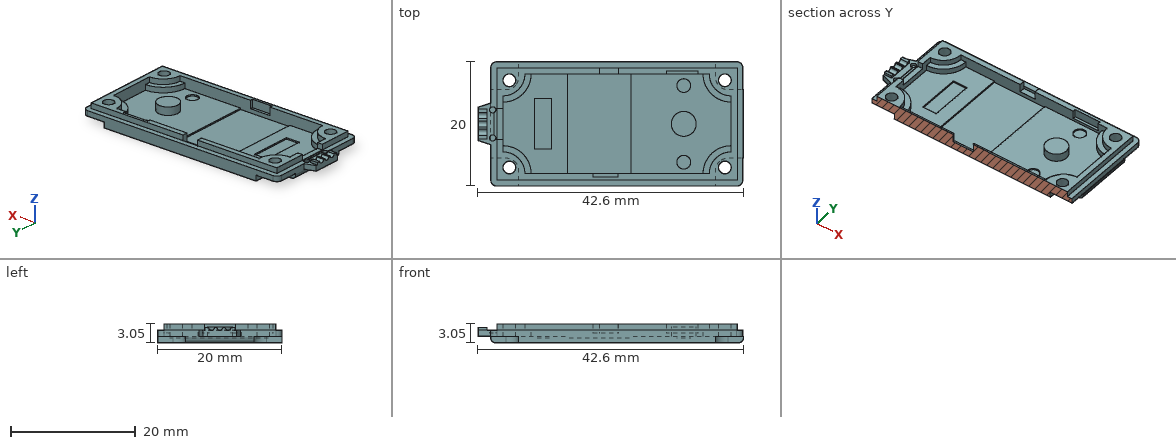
import cadquery as cq
foot_height = 1.05
plate_thickness = 1.0
wall_height = 1.0
plate_bottom = foot_height
plate_top = plate_bottom + plate_thickness
wall_top = plate_top + wall_height

base_length = 40.6
base_width = 20.0
plate_setback = 0.1
plate_corner_radius = 1.0
wall_inset = 1.0
wall_thickness = 1.0
wall_length = base_length - 2 * wall_inset
wall_width = base_width - 2 * wall_inset
cavity_length = wall_length - 2 * wall_thickness
cavity_width = wall_width - 2 * wall_thickness
overlap = 0.2

foot_corner_cut = 4.5
foot_cut_radius = 2.0
foot_edge_radius = 0.8

screw_hole_diameter = 2.0
screw_edge_distance = 3.0
screw_x = base_length / 2 - screw_edge_distance
screw_y = base_width / 2 - screw_edge_distance
boss_radius = 3.5
boss_step_radius = 4.5

floor_z = plate_bottom
panel_left = -8.0
panel_right = 2.2
panel_depth = 0.25
window_length = 2.7
window_width = 8.1
window_x = -11.9
window_depth = 0.25
post_diameter = 4.0
post_height = 1.5
post_x = 10.7
dimple_diameter = 2.2
dimple_depth = 0.25
dimple_y = 6.15

notch_depth = 1.5
notch_z = wall_top - notch_depth
latch_depth = 0.5
through_notch_length = 3.0
through_notch_x = -1.3
back_latch_length = 5.0
back_latch_x = 10.45
front_latch_length = 4.0
front_latch_x = -1.85

tab_length = 2.0
tab_root_width = 6.7
tab_tip_width = 5.4
grip_length = 1.45
grip_width = 4.8
grip_height = 0.45
flute_diameter = 1.0
flute_pitch = 1.33
flute_count = 3
flute_lift = 0.05

gap_width = 5.0
groove_depth = 0.08
groove_width = 0.45
relief_diameter = 1.0
relief_depth = 0.5
relief_x = -base_length / 2 + 0.33
relief_y = 2.25


def block(x_min, x_max, y_min, y_max, z_min, z_max):
    """Box given by its limits along each axis."""
    size = (x_max - x_min, y_max - y_min, z_max - z_min)
    return cq.Workplane("XY").box(*size, centered=False).translate((x_min, y_min, z_min))


def centered_block(x_center, y_center, length, width, z_min, z_max):
    """Box centred on a point in plan."""
    base = cq.Workplane("XY", origin=(x_center, y_center, z_min))
    return base.rect(length, width).extrude(z_max - z_min)


def cylinder(x, y, diameter, z_min, z_max):
    """Upright cylinder."""
    return cq.Workplane("XY", origin=(x, y, z_min)).circle(diameter / 2).extrude(z_max - z_min)


def corners(x, y):
    """The four mirrored positions of a point in plan."""
    return [(sx * x, sy * y) for sx in (-1, 1) for sy in (-1, 1)]


def make_foot():
    foot = centered_block(0, 0, base_length, base_width, 0, foot_height)
    foot = foot.faces("<X or >X").edges("<Z").fillet(foot_edge_radius)
    cut_size = 2 * foot_corner_cut
    for x, y in corners(base_length / 2, base_width / 2):
        cutter = centered_block(x, y, cut_size, cut_size, -overlap, foot_height)
        foot = foot.cut(cutter.edges("|Z").fillet(foot_cut_radius))
    return foot


def make_plate_and_wall():
    plate_length = base_length - plate_setback
    plate = centered_block(-plate_setback / 2, 0, plate_length, base_width, plate_bottom, plate_top)
    plate = plate.edges("|Z").fillet(plate_corner_radius)
    wall = centered_block(0, 0, wall_length, wall_width, plate_top, wall_top)
    return plate.union(wall)


def make_cavity():
    """Open space inside the wall, less the stepped quarter-round bosses."""
    cavity = centered_block(0, 0, cavity_length, cavity_width, floor_z, wall_top + overlap)
    for x, y in corners(cavity_length / 2, cavity_width / 2):
        cavity = cavity.cut(cylinder(x, y, 2 * boss_step_radius, floor_z, plate_top))
        cavity = cavity.cut(cylinder(x, y, 2 * boss_radius, plate_top, wall_top + overlap))
    return cavity


def cut_floor_details(body):
    half_width = cavity_width / 2
    panel = block(panel_left, panel_right, -half_width, half_width, floor_z - panel_depth, floor_z)
    window = centered_block(window_x, 0, window_length, window_width, floor_z - window_depth, floor_z)
    body = body.cut(panel).cut(window)
    for side in (-1, 1):
        body = body.cut(cylinder(post_x, side * dimple_y, dimple_diameter, floor_z - dimple_depth, floor_z))
    return body.union(cylinder(post_x, 0, post_diameter, floor_z - overlap, floor_z + post_height))


def cut_wall_notches(body):
    """Rectangular notches opening into the cavity: (x, length, side, depth into the wall)."""
    notches = [
        (through_notch_x, through_notch_length, 1, wall_thickness),
        (back_latch_x, back_latch_length, 1, latch_depth),
        (front_latch_x, front_latch_length, -1, latch_depth),
    ]
    for x, length, side, depth in notches:
        y = side * (cavity_width / 2 + depth / 2)
        body = body.cut(centered_block(x, y, length, depth, notch_z, wall_top))
    return body


def add_tab(body):
    root_x = -base_length / 2
    tip_x = root_x - tab_length
    outline = [
        (root_x, -tab_root_width / 2),
        (root_x, tab_root_width / 2),
        (tip_x, tab_tip_width / 2),
        (tip_x, -tab_tip_width / 2),
    ]
    tab = cq.Workplane("XY", origin=(0, 0, plate_bottom)).polyline(outline).close().extrude(plate_thickness)
    grip_top = plate_top + grip_height
    grip = block(tip_x, tip_x + grip_length, -grip_width / 2, grip_width / 2, plate_top, grip_top)
    for index in range(flute_count):
        y = (index - (flute_count - 1) / 2) * flute_pitch
        flute_plane = cq.Workplane("YZ", origin=(tip_x, y, grip_top + flute_lift))
        grip = grip.cut(flute_plane.circle(flute_diameter / 2).extrude(grip_length))
    return body.union(tab).union(grip)


def cut_tab_gap(body):
    wall_outer_x = -wall_length / 2
    half_gap = gap_width / 2
    body = body.cut(block(wall_outer_x, -cavity_length / 2, -half_gap, half_gap, plate_top, wall_top))
    groove_x = wall_outer_x - groove_width
    body = body.cut(block(groove_x, wall_outer_x, -half_gap, half_gap, plate_top - groove_depth, plate_top))
    for side in (-1, 1):
        relief = cylinder(relief_x, side * relief_y, relief_diameter, plate_top - relief_depth, plate_top)
        body = body.cut(relief)
    return body


def cut_screw_holes(body):
    for x, y in corners(screw_x, screw_y):
        body = body.cut(cylinder(x, y, screw_hole_diameter, -overlap, wall_top + overlap))
    return body


result = make_foot().union(make_plate_and_wall()).cut(make_cavity())
result = cut_floor_details(result)
result = cut_wall_notches(result)
result = add_tab(result)
result = cut_tab_gap(result)
result = cut_screw_holes(result)